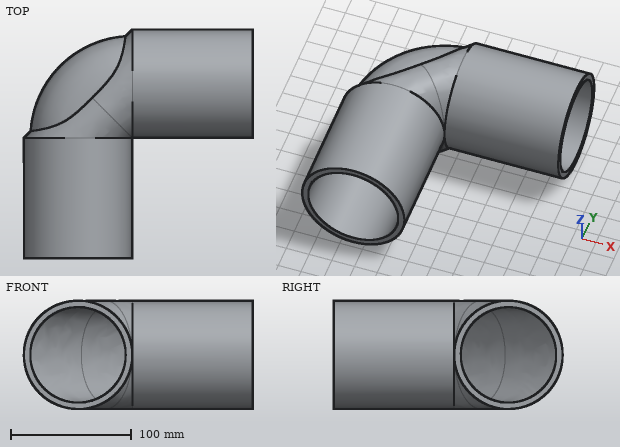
import cadquery as cq
import math

overall_length = 190.0
pipe_diameter = 90.0
bore_diameter = 79.2

pipe_radius = pipe_diameter / 2
bore_radius = bore_diameter / 2
pipe_length = overall_length - pipe_diameter



def straight_legs(radius):
    """Two rods of the given radius along the pipe axes."""
    y_leg = cq.Workplane("XZ").center(-pipe_radius, 0).circle(radius).extrude(pipe_length)
    x_leg = cq.Workplane("YZ").center(pipe_radius, 0).circle(radius).extrude(pipe_length)
    return y_leg.union(x_leg)


def diagonal_transition(radius):
    """Straight diagonal rod that meets both legs in full circles of the given radius."""
    diagonal_plane = cq.Plane(
        origin=(-pipe_radius / 2, pipe_radius / 2, 0),
        xDir=(1, -1, 0),
        normal=(1, 1, 0),
    )
    rod = (
        cq.Workplane(diagonal_plane)
        .ellipse(radius / math.sqrt(2), radius)
        .extrude(pipe_diameter, both=True)
    )
    corner = cq.Workplane("XY").box(2 * pipe_diameter, 2 * pipe_diameter, 2 * pipe_diameter)
    return rod.intersect(corner.translate((-pipe_diameter, pipe_diameter, 0)))


def rounded_back():
    """Quarter torus of bore radius that bulges from the back of the bend."""
    return (
        cq.Workplane("XZ")
        .center(-pipe_radius, 0)
        .circle(bore_radius)
        .revolve(90, (pipe_radius, 0, 0), (pipe_radius, -1, 0))
    )


bend = diagonal_transition(pipe_radius).union(rounded_back())
body = bend.union(straight_legs(pipe_radius))
bore = diagonal_transition(bore_radius).union(straight_legs(bore_radius))
result = body.cut(bore)